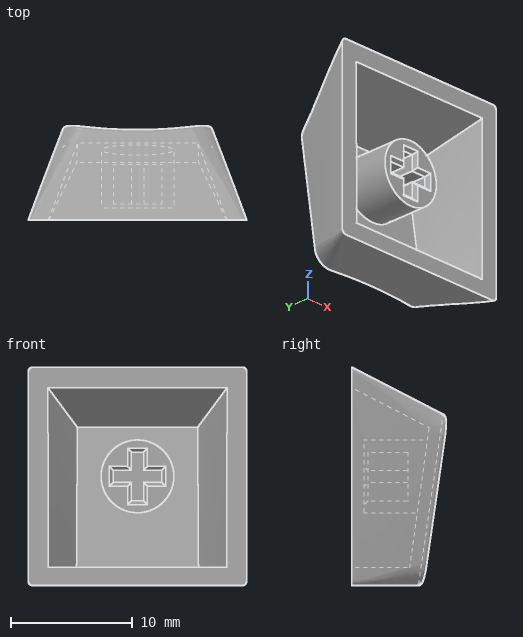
import cadquery as cq
import math

base_half = 9.0
base_corner_radius = 0.4

face_half_width = 6.07
face_corner_radius = 1.71
face_height = 7.27
face_slope = 0.144
upper_wall_slope = 0.516
dish_radius = 36.0
rim_fillet = 0.36

mouth_bottom_half_width = 7.33
mouth_top_half_width = 7.38
mouth_top = 7.3
cavity_bottom = -7.49
floor_bottom_half_width = 5.02
floor_top_half_width = 4.95
floor_top = 4.03
floor_top_height = 6.35
floor_bottom_height = 4.75

stem_diameter = 6.0
stem_recess = 1.0
cross_length = 4.65
cross_arm_width = 1.64
cross_lead_in = 0.32
lead_in_angle = 45.0
cross_depth = 3.6

body_steps = 4
body_overrun = 1.15


def face_at(z):
    """Height of the face's side edges at a given z."""
    return face_height + face_slope * z


def blend(start, end, fraction):
    return start + (end - start) * fraction


def body_section(fraction):
    """Rounded rectangle on a plane that turns gradually from the base to the face."""
    face_top = (base_half - upper_wall_slope * face_height) / (1 + upper_wall_slope * face_slope)
    top_z = blend(base_half, face_top, fraction)
    top_y = face_at(face_top) * fraction
    bottom_y = face_at(-base_half) * fraction
    half_width = blend(base_half, face_half_width, fraction)
    eased = min(fraction, 1.0)
    eased = eased * eased * (3 - 2 * eased)
    radius = blend(base_corner_radius, face_corner_radius, eased)

    rise = top_y - bottom_y
    run = top_z + base_half
    plane = cq.Plane(
        origin=(0, (top_y + bottom_y) / 2, (top_z - base_half) / 2),
        xDir=(1, 0, 0),
        normal=(0, -run, rise),
    )
    outline = cq.Sketch().rect(2 * half_width, math.hypot(rise, run)).vertices().fillet(radius).reset().faces()
    return outline.val().outerWire().moved(plane.location)


def make_body():
    sections = [body_section(body_overrun * i / body_steps) for i in range(body_steps + 1)]
    body = cq.Workplane(cq.Solid.makeLoft(sections, False))
    axis_offset = math.sqrt(dish_radius**2 - face_half_width**2)
    tilt = math.atan(face_slope)
    axis = cq.Vector(0, math.sin(tilt), math.cos(tilt))
    middle = cq.Vector(0, face_height + axis_offset * math.cos(tilt), -axis_offset * math.sin(tilt))
    dish_length = 4 * base_half
    dish = cq.Solid.makeCylinder(dish_radius, dish_length, middle - axis * (dish_length / 2), axis)
    body = body.cut(cq.Workplane(dish))
    return body.faces(">Y").edges().fillet(rim_fillet)


def cavity_section(bottom_half_width, top_half_width, bottom_y, top_y, top_z):
    return cq.Wire.makePolygon(
        [
            cq.Vector(-bottom_half_width, bottom_y, cavity_bottom),
            cq.Vector(bottom_half_width, bottom_y, cavity_bottom),
            cq.Vector(top_half_width, top_y, top_z),
            cq.Vector(-top_half_width, top_y, top_z),
        ],
        close=True,
    )


def make_cavity():
    mouth = cavity_section(mouth_bottom_half_width, mouth_top_half_width, 0, 0, mouth_top)
    floor = cavity_section(
        floor_bottom_half_width, floor_top_half_width, floor_bottom_height, floor_top_height, floor_top
    )
    return cq.Workplane(cq.Solid.makeLoft([mouth, floor], True))


def make_stem():
    """Cylinder from the recessed end to beyond the floor of the cavity."""
    return (
        cq.Workplane("XZ", origin=(0, stem_recess, 0))
        .circle(stem_diameter / 2)
        .extrude(-(floor_top_height - stem_recess))
    )


def make_socket():
    """Blind cross, narrowed behind a 45 degree lead-in."""
    socket = cq.Workplane()
    arms = ((cross_length, cross_arm_width), (cross_arm_width, cross_length))
    for width, height in arms:
        end = cq.Workplane("XZ", origin=(0, stem_recess, 0))
        lead_in = end.rect(width, height).extrude(-cross_lead_in, taper=lead_in_angle)
        slot = end.rect(width - 2 * cross_lead_in, height - 2 * cross_lead_in).extrude(-cross_depth)
        socket = socket.add(lead_in).add(slot)
    return socket.combine()


hollow = make_cavity().cut(make_stem())
result = make_body().cut(hollow).cut(make_socket())